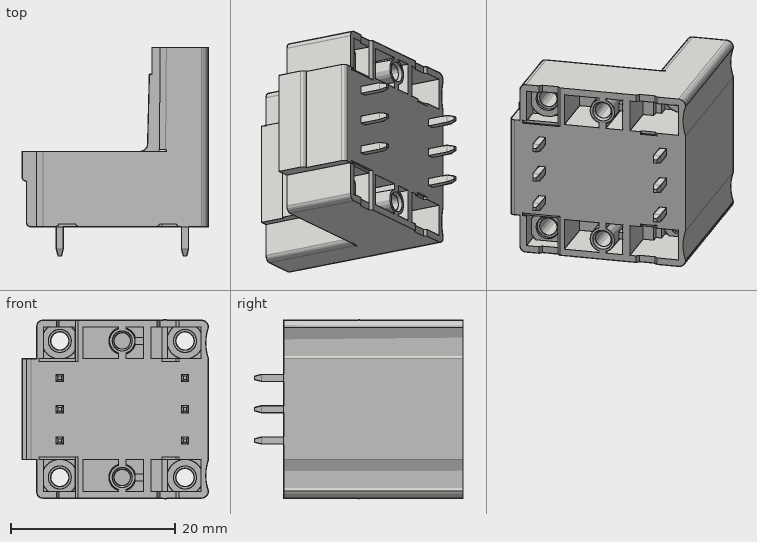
import cadquery as cq
import math

WIDTH = 22.7
HEIGHT = 21.82
WING_HEIGHT = 21.68
BODY_DEPTH = 21.85
PIN_LENGTH = 3.55
BLOCK_DEPTH = 9.2
HALF_HEIGHT = WING_HEIGHT / 2

WING_LEFT = 1.79
WING_ARM_LEFT_INNER = 16.72
WING_ARM_LEFT_OUTER = 16.82
WING_RADIUS = 0.75
RIGHT_RADIUS = 0.88
FOOT_HEIGHT = 0.2

MIDDLE_HALF_HEIGHT = 6.15
FLANGE_STEP = 0.54
FLANGE_STEP_Y = 5.55
FLANGE_RADIUS = 0.53
MIDDLE_ARM_LEFT_INNER = 15.25
MIDDLE_ARM_LEFT_OUTER = 15.49
MIDDLE_ARM_STEP_X = 15.8
MIDDLE_ARM_STEP_Y = 18.6
MIDDLE_CORNER_RADIUS = 0.9

SCALLOP_DEPTH = 0.32

WALL = 0.85
POCKET_TOP = HALF_HEIGHT - WALL
POCKET_BOTTOM = MIDDLE_HALF_HEIGHT
LEFT_POCKET = (2.61, 6.48)
BOSS_POCKET = (7.40, 14.77)
RIGHT_POCKET = (15.68, 21.78)
RIGHT_POCKET_STEP_X = 17.02
SCREW_BOX_X = 17.74
LEFT_POCKET_DEPTH = 2.9
BOSS_POCKET_DEPTH = 7.0
RIGHT_POCKET_DEPTH = 6.0
RIGHT_STEP_DEPTH = 7.0
SCREW_BOX_DEPTH = 8.6

COLUMN_PITCH = 15.24
LEFT_COLUMN_X = 4.6
COLUMNS = (LEFT_COLUMN_X, LEFT_COLUMN_X + COLUMN_PITCH)
SCREW_EDGE_DISTANCE = 2.53
SCREW_Z = HALF_HEIGHT - SCREW_EDGE_DISTANCE
HOLE_RADIUS = 1.1
COUNTERBORE_RADIUS = 1.4
COUNTERBORE_DEPTH = 0.5
SEAT_RADIUS = 2.2
SEAT_HEIGHT = 0.6

BOSS_X = 12.2
BOSS_TIP_RADIUS = 1.54
BOSS_ROOT_RADIUS = 1.63
BOSS_HOLE_RADIUS = 1.0
BOSS_MOUTH_RADIUS = 1.22
BOSS_MOUTH_DEPTH = 0.4
BOSS_HOLE_DEPTH = 5.0
RIB_WIDTH = 0.88
SIDE_RIB_RECESS = 2.0

NOTCH_DEPTH = 0.34
NOTCH_LENGTH = 2.65
LEFT_NOTCH_X = 4.18
RIGHT_NOTCH_X = 16.43
LEDGE_LEFT_X = 2.09
LEDGE_HEIGHT = 0.33

PIN_PITCH = 3.81
PIN_SIZE = 0.88
PIN_TIP_SIZE = 0.42
PIN_TIP_LENGTH = 0.88


def box(x_range, y_range, z_range):
    """Box between the given limits."""
    size = [limits[1] - limits[0] for limits in (x_range, y_range, z_range)]
    return cq.Workplane("XY").box(*size, centered=False).translate((x_range[0], y_range[0], z_range[0]))


def cylinder(x, z, radius, y_range):
    """Round bar along Y."""
    length = y_range[1] - y_range[0]
    return cq.Workplane("XZ", origin=(x, y_range[0], z)).circle(radius).extrude(-length)


def cone(x, z, near_radius, far_radius, y_range):
    """Tapered round bar along Y."""
    length = y_range[1] - y_range[0]
    start = cq.Vector(x, y_range[0], z)
    return cq.Workplane(obj=cq.Solid.makeCone(near_radius, far_radius, length, start, cq.Vector(0, 1, 0)))


def both_ends(shape):
    """The shape together with its mirror image across mid-height."""
    return shape.union(shape.mirror("XY"))


def arm_foot():
    """Small flare around the rounded side of the arm where it meets the block."""
    flare = (HEIGHT - WING_HEIGHT) / 2
    foot_length = WING_RADIUS + flare
    return (
        cq.Workplane("XZ", origin=(WING_ARM_LEFT_INNER + foot_length / 2, BLOCK_DEPTH, 0))
        .sketch()
        .rect(foot_length + 2 * flare, HEIGHT)
        .vertices("<X")
        .fillet(WING_RADIUS)
        .finalize()
        .extrude(-FOOT_HEIGHT, taper=math.degrees(math.atan2(flare, FOOT_HEIGHT)))
    )


def wings():
    """Full-height block and arm with rounded long edges."""
    block = box((WING_LEFT, WIDTH), (0, BLOCK_DEPTH), (-HALF_HEIGHT, HALF_HEIGHT))
    block = block.faces("<X").edges("|Y").fillet(WING_RADIUS)
    arm = (
        cq.Workplane("XY")
        .moveTo(WING_ARM_LEFT_INNER, BLOCK_DEPTH)
        .lineTo(WIDTH, BLOCK_DEPTH)
        .lineTo(WIDTH, BODY_DEPTH)
        .lineTo(WING_ARM_LEFT_OUTER, BODY_DEPTH)
        .close()
        .extrude(HALF_HEIGHT, both=True)
    )
    arm = arm.faces("<X").edges("not |Z").fillet(WING_RADIUS)
    body = block.union(arm).union(arm_foot())
    return body.faces(">X").edges("|Y").fillet(RIGHT_RADIUS)


def scallops():
    top = HALF_HEIGHT - RIGHT_RADIUS
    scallop = (
        cq.Workplane("XZ")
        .moveTo(WIDTH, top)
        .threePointArc((WIDTH - SCALLOP_DEPTH, (top + MIDDLE_HALF_HEIGHT) / 2), (WIDTH, MIDDLE_HALF_HEIGHT))
        .close()
        .extrude(-BODY_DEPTH)
    )
    return both_ends(scallop)


def middle_section():
    section = (
        cq.Workplane("XY")
        .moveTo(FLANGE_STEP, 0)
        .lineTo(WIDTH, 0)
        .lineTo(WIDTH, BODY_DEPTH)
        .lineTo(MIDDLE_ARM_STEP_X, BODY_DEPTH)
        .lineTo(MIDDLE_ARM_STEP_X, MIDDLE_ARM_STEP_Y)
        .lineTo(MIDDLE_ARM_LEFT_OUTER, MIDDLE_ARM_STEP_Y)
        .lineTo(MIDDLE_ARM_LEFT_INNER, BLOCK_DEPTH)
        .lineTo(0, BLOCK_DEPTH)
        .lineTo(0, FLANGE_STEP_Y)
        .lineTo(FLANGE_STEP, FLANGE_STEP_Y)
        .close()
        .extrude(MIDDLE_HALF_HEIGHT, both=True)
    )
    rounded_corners = (
        (FLANGE_STEP, 0, FLANGE_RADIUS),
        (0, FLANGE_STEP_Y, FLANGE_RADIUS),
        (MIDDLE_ARM_LEFT_INNER, BLOCK_DEPTH, MIDDLE_CORNER_RADIUS),
    )
    for x, y, radius in rounded_corners:
        corner = cq.selectors.NearestToPointSelector((x, y, 0))
        section = section.edges("|Z").edges(corner).fillet(radius)
    return section


def pocket(x_range, depth):
    return box(x_range, (0, depth), (POCKET_BOTTOM, POCKET_TOP))


def add_screw_seat(pocket_shape, x, floor_y):
    """Leave a raised round seat on the pocket floor and add its counterbored through hole."""
    seat_y = floor_y - SEAT_HEIGHT
    bore_end_y = seat_y + COUNTERBORE_DEPTH
    seat = cylinder(x, SCREW_Z, SEAT_RADIUS, (seat_y, floor_y))
    counterbore = cylinder(x, SCREW_Z, COUNTERBORE_RADIUS, (seat_y, bore_end_y))
    hole = cylinder(x, SCREW_Z, HOLE_RADIUS, (seat_y, BODY_DEPTH))
    return pocket_shape.cut(seat).union(counterbore).union(hole)


def left_pocket():
    return add_screw_seat(pocket(LEFT_POCKET, LEFT_POCKET_DEPTH), COLUMNS[0], LEFT_POCKET_DEPTH)


def right_pocket():
    right_end = RIGHT_POCKET[1]
    shape = pocket(RIGHT_POCKET, RIGHT_POCKET_DEPTH)
    shape = shape.union(pocket((RIGHT_POCKET_STEP_X, right_end), RIGHT_STEP_DEPTH))
    shape = shape.union(pocket((SCREW_BOX_X, right_end), SCREW_BOX_DEPTH))
    return add_screw_seat(shape, COLUMNS[1], SCREW_BOX_DEPTH)


def boss_pocket():
    """Pocket around a ribbed boss, together with the blind hole of the boss."""
    depth_range = (0, BOSS_POCKET_DEPTH)
    half_rib = RIB_WIDTH / 2
    boss = cone(BOSS_X, SCREW_Z, BOSS_TIP_RADIUS, BOSS_ROOT_RADIUS, depth_range)
    upright_rib = box((BOSS_X - half_rib, BOSS_X + half_rib), depth_range, (POCKET_BOTTOM, POCKET_TOP))
    side_rib = box(
        (BOSS_X, BOSS_POCKET[1]),
        (SIDE_RIB_RECESS, BOSS_POCKET_DEPTH),
        (SCREW_Z - half_rib, SCREW_Z + half_rib),
    )
    mouth = cone(BOSS_X, SCREW_Z, BOSS_MOUTH_RADIUS, BOSS_HOLE_RADIUS, (0, BOSS_MOUTH_DEPTH))
    hole = cylinder(BOSS_X, SCREW_Z, BOSS_HOLE_RADIUS, (0, BOSS_HOLE_DEPTH))
    shape = pocket(BOSS_POCKET, BOSS_POCKET_DEPTH).cut(boss).cut(upright_rib).cut(side_rib)
    return shape.union(mouth).union(hole)


def notch(left_x, z_range):
    """Shallow trapezoid groove in the pin face."""
    right_x = left_x + NOTCH_LENGTH
    return (
        cq.Workplane("XY", origin=(0, 0, z_range[0]))
        .moveTo(left_x, 0)
        .lineTo(left_x + NOTCH_DEPTH, NOTCH_DEPTH)
        .lineTo(right_x - NOTCH_DEPTH, NOTCH_DEPTH)
        .lineTo(right_x, 0)
        .close()
        .extrude(z_range[1] - z_range[0])
    )


def ledge(left_x, notch_x):
    """Shallow groove along the inner pocket wall, square on the left and sloped on the right."""
    right_x = notch_x + NOTCH_LENGTH
    return (
        cq.Workplane("XY", origin=(0, 0, POCKET_BOTTOM - LEDGE_HEIGHT))
        .moveTo(left_x, 0)
        .lineTo(left_x, NOTCH_DEPTH)
        .lineTo(right_x - NOTCH_DEPTH, NOTCH_DEPTH)
        .lineTo(right_x, 0)
        .close()
        .extrude(LEDGE_HEIGHT)
    )


def face_grooves():
    grooves = notch(LEFT_NOTCH_X, (POCKET_BOTTOM, HALF_HEIGHT))
    grooves = grooves.union(notch(RIGHT_NOTCH_X, (POCKET_BOTTOM, HALF_HEIGHT)))
    grooves = grooves.union(ledge(LEDGE_LEFT_X, LEFT_NOTCH_X))
    return grooves.union(ledge(RIGHT_POCKET_STEP_X, RIGHT_NOTCH_X))


def pin(x, z):
    """Square pin with a tapered tip, pointing to -Y."""
    shank_length = PIN_LENGTH - PIN_TIP_LENGTH
    shank = cq.Workplane("XZ", origin=(x, 0, z)).rect(PIN_SIZE, PIN_SIZE).extrude(shank_length)
    tip = (
        cq.Workplane("XZ", origin=(x, -shank_length, z))
        .rect(PIN_SIZE, PIN_SIZE)
        .workplane(offset=PIN_TIP_LENGTH)
        .rect(PIN_TIP_SIZE, PIN_TIP_SIZE)
        .loft()
    )
    return shank.union(tip)


result = wings().cut(scallops()).union(middle_section())
for recess in (left_pocket(), boss_pocket(), right_pocket(), face_grooves()):
    result = result.cut(both_ends(recess))
for column_x in COLUMNS:
    for row in (-1, 0, 1):
        result = result.union(pin(column_x, row * PIN_PITCH))